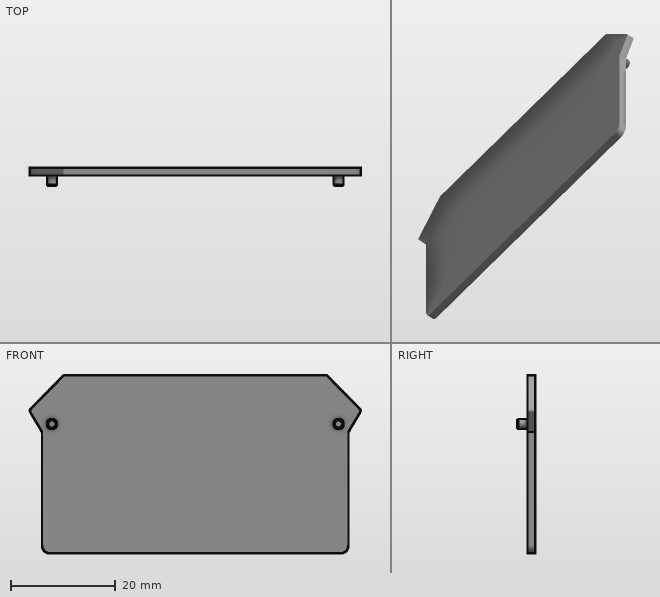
import cadquery as cq

plate_thickness = 1.5
plate_height = 34.3
body_half_width = 29.45
top_half_width = 25.25
shoulder_base_height = 23.35
tip_half_width = 31.9
tip_height = 27.5
upper_corner_radius = 0.5
bottom_corner_radius = 1.5

pin_diameter = 2.0
pin_length = 2.0
pin_chamfer = 0.25
pin_half_spacing = 27.55
pin_height = 24.85


def make_plate():
    """Symmetric plate with pointed shoulders and rounded outer corners."""
    right_side = [
        (body_half_width, 0),
        (body_half_width, shoulder_base_height),
        (tip_half_width, tip_height),
        (top_half_width, plate_height),
    ]
    left_side = [(-x, z) for x, z in reversed(right_side)]
    plate = (
        cq.Workplane("XZ")
        .polyline(right_side + left_side)
        .close()
        .extrude(plate_thickness)
    )
    plate = plate.edges("|Y and <Z").fillet(bottom_corner_radius)
    plate = plate.edges("|Y and >Z").fillet(upper_corner_radius)
    return plate.edges("|Y and (<X or >X)").fillet(upper_corner_radius)


def make_pin(x):
    """Pin standing on the front face, with a chamfered free end."""
    return (
        cq.Workplane("XZ", origin=(x, -plate_thickness, pin_height))
        .circle(pin_diameter / 2)
        .extrude(pin_length)
        .faces("<Y")
        .chamfer(pin_chamfer)
    )


result = make_plate()
for side in (-1, 1):
    result = result.union(make_pin(side * pin_half_spacing))